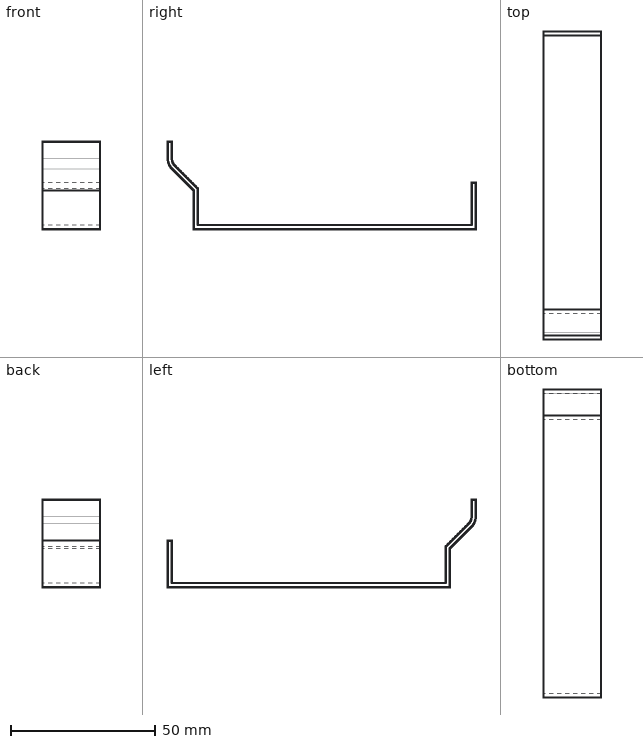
import cadquery as cq
import math

length = 107.0
width = 20.0
height = 30.4
thickness = 1.5
back_wall_height = 16.2
lip_offset = 9.0
front_wall_height = 13.5
bend_radius = 5.0

slope_angle = math.radians(45)
slope_rise = lip_offset / math.tan(slope_angle)
miter_shift = thickness * math.tan(slope_angle / 2)

lip_y = -length / 2
front_y = lip_y + lip_offset
back_y = length / 2
bend_z = front_wall_height + slope_rise

profile = [
    (back_y, 0),
    (back_y, back_wall_height),
    (back_y - thickness, back_wall_height),
    (back_y - thickness, thickness),
    (front_y + thickness, thickness),
    (front_y + thickness, front_wall_height + miter_shift),
    (lip_y + thickness, bend_z + miter_shift),
    (lip_y + thickness, height),
    (lip_y, height),
    (lip_y, bend_z),
    (front_y, front_wall_height),
    (front_y, 0),
]
strip = cq.Workplane("YZ").polyline(profile).close().extrude(width / 2, both=True)


def round_bend(body, y, z, radius):
    """Round the bend edge that runs along X through (y, z)."""
    edge = cq.selectors.NearestToPointSelector((0, y, z))
    return body.edges("|X").edges(edge).fillet(radius)


strip = round_bend(strip, lip_y, bend_z, bend_radius)
result = round_bend(strip, lip_y + thickness, bend_z + miter_shift, bend_radius - thickness)